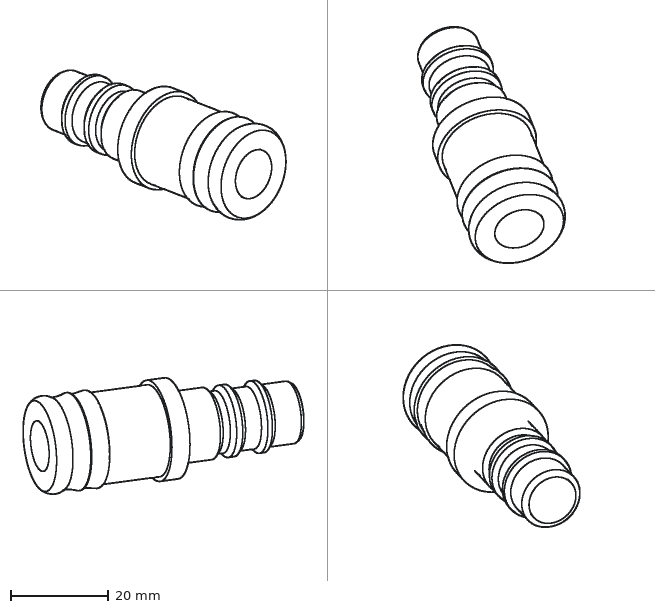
import cadquery as cq
import math

length = 56.0
bore_radius = 10.5 / 2
tip_radius = 13.0 / 2
spigot_radius = 15.0 / 2
collar_radius = 21.0 / 2
hose_radius = 19.1 / 2

tip_cone_end = 0.85
tip_cone_angle = math.radians(30)
nose_round = 0.5

flank = spigot_radius - tip_radius
ring_1_start = 6.6
ring_1_land = 1.0
ring_2_start = 13.15
ring_2_land = 1.35
shoulder_start = 18.1

collar_start = 27.0
collar_width = 4.0
collar_fillet = 0.5

barb_radius = 10.2
crest_round = 0.35
barb_1_start = 44.45
barb_1_end = 48.15
barb_2_start = 48.45
barb_2_middle = 50.6
barb_2_middle_radius = 9.7
barb_root_radius = 9.65

bead_start = 52.5
bead_crest = 54.25
bead_crest_radius = 10.2
bead_end_radius = 9.4

diagonal = math.sqrt(0.5)


def add_tip(profile):
    """Flat end face, nose round tangent to the cone, then the cone itself."""
    round_end_x = nose_round * (1 - math.sin(tip_cone_angle))
    round_end_radius = tip_radius - (tip_cone_end - round_end_x) * math.tan(tip_cone_angle)
    face_radius = round_end_radius - nose_round * math.cos(tip_cone_angle)
    middle_angle = (math.pi / 2 - tip_cone_angle) / 2
    round_middle = (
        nose_round * (1 - math.cos(middle_angle)),
        face_radius + nose_round * math.sin(middle_angle),
    )
    return (
        profile.lineTo(0, face_radius)
        .threePointArc(round_middle, (round_end_x, round_end_radius))
        .lineTo(tip_cone_end, tip_radius)
    )


def add_snap_ring(profile, start, land):
    """Trapezoidal ring standing on the tip cylinder."""
    return (
        profile.lineTo(start, tip_radius)
        .lineTo(start + flank, spigot_radius)
        .lineTo(start + flank + land, spigot_radius)
        .lineTo(start + 2 * flank + land, tip_radius)
    )


def add_collar(profile):
    """Shoulder cylinder, root fillet and collar."""
    fillet_start = collar_start - collar_fillet
    fillet_top = spigot_radius + collar_fillet
    fillet_middle = (
        fillet_start + collar_fillet * diagonal,
        fillet_top - collar_fillet * diagonal,
    )
    collar_end = collar_start + collar_width
    return (
        profile.lineTo(shoulder_start, tip_radius)
        .lineTo(shoulder_start + flank, spigot_radius)
        .lineTo(fillet_start, spigot_radius)
        .threePointArc(fillet_middle, (collar_start, fillet_top))
        .lineTo(collar_start, collar_radius)
        .lineTo(collar_end, collar_radius)
        .lineTo(collar_end, hose_radius)
    )


def add_barb_crest(profile, start, root_radius):
    """Steep barb face with a quarter-round crest."""
    crest_middle = (
        start + crest_round * (1 - diagonal),
        barb_radius - crest_round * (1 - diagonal),
    )
    return (
        profile.lineTo(start, root_radius)
        .lineTo(start, barb_radius - crest_round)
        .threePointArc(crest_middle, (start + crest_round, barb_radius))
    )


def add_hose_end(profile):
    """Two barbs and the end bead."""
    profile = add_barb_crest(profile, barb_1_start, hose_radius)
    profile = profile.lineTo(barb_1_end, barb_root_radius)
    profile = add_barb_crest(profile, barb_2_start, barb_root_radius)
    return (
        profile.threePointArc((barb_2_middle, barb_2_middle_radius), (bead_start, barb_root_radius))
        .threePointArc((bead_crest, bead_crest_radius), (length, bead_end_radius))
    )


section = cq.Workplane("XY").moveTo(0, bore_radius)
section = add_tip(section)
section = add_snap_ring(section, ring_1_start, ring_1_land)
section = add_snap_ring(section, ring_2_start, ring_2_land)
section = add_collar(section)
section = add_hose_end(section)
section = section.lineTo(length, bore_radius).close()

result = section.revolve(360, (0, 0, 0), (1, 0, 0))